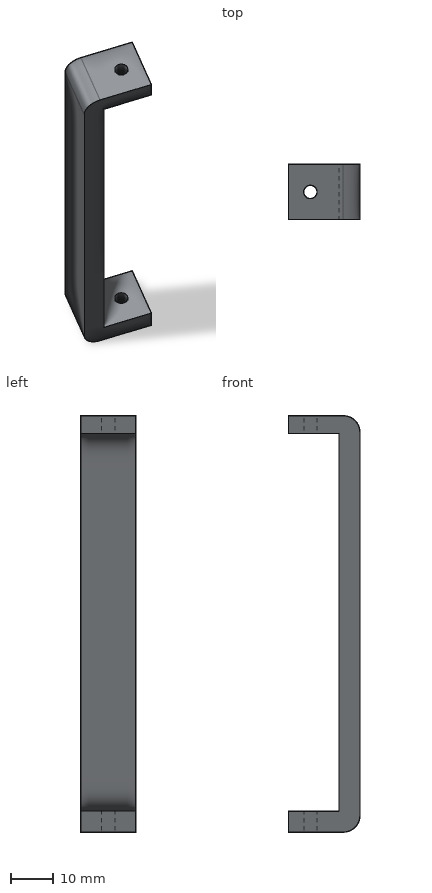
import cadquery as cq

depth = 17.0
width = 13.16
height = 98.9

bar_thickness = 5.0
top_leg_thickness = 4.3
bottom_leg_thickness = 5.0

corner_radius = 4.0

hole_diameter = 3.1
hole_from_leg_end = 5.2


def make_block():
    """Solid block standing on Z = 0, legs ending at X = 0, centred on Y."""
    block = cq.Workplane("XY").box(depth, width, height, centered=(False, True, False))
    return block.faces(">X").edges("|Y").fillet(corner_radius)


def make_grip_opening():
    """Square-cornered opening between the legs, open towards -X."""
    opening_height = height - top_leg_thickness - bottom_leg_thickness
    return (
        cq.Workplane("XY", origin=(0, 0, bottom_leg_thickness))
        .box(depth - bar_thickness, width, opening_height, centered=(False, True, False))
    )


def make_hole():
    """Vertical cylinder that passes through both legs."""
    return cq.Workplane("XY").center(hole_from_leg_end, 0).circle(hole_diameter / 2).extrude(height)


result = make_block().cut(make_grip_opening()).cut(make_hole())